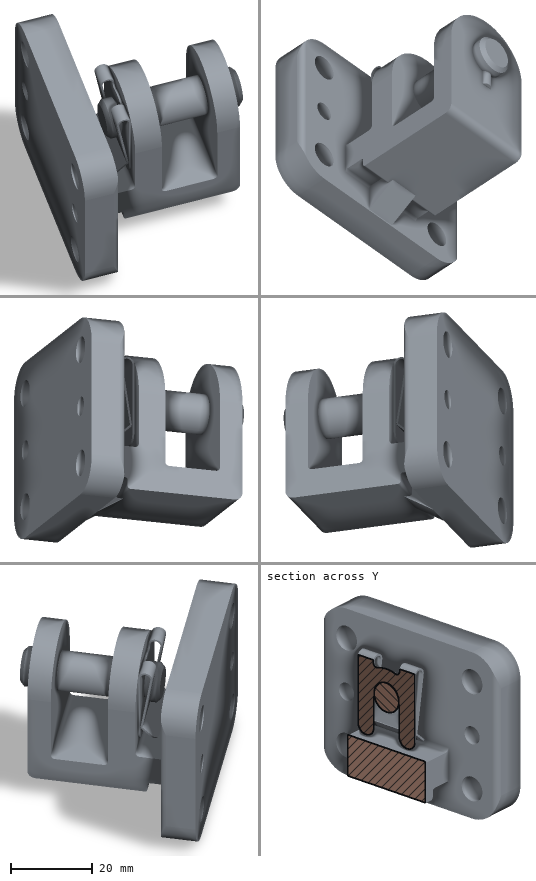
import cadquery as cq
import math

PLATE_WIDTH = 56.0
PLATE_HEIGHT = 45.0
PLATE_THICKNESS = 8.95
PLATE_CORNER_RADIUS = 8.0
PLATE_EDGE_RADIUS = 1.5
HOLE_OFFSET_X = 20.0
HOLE_OFFSET_Z = 14.5
BOLT_HOLE_DIAMETER = 6.6
DOWEL_HOLE_DIAMETER = 4.8

CLEVIS_WIDTH = 25.0
AXIS_Z = 7.5
LUG_TOP_Z = AXIS_Z + CLEVIS_WIDTH / 2
FRONT_LUG_START = 18.0
FRONT_LUG_END = 24.85
REAR_LUG_START = 39.15
REAR_LUG_END = 45.0
GAP_FLOOR_Z = -10.5
NECK_TOP_Z = -6.55
NECK_BOTTOM_Z = -14.55
CLEVIS_BOTTOM_Z = -17.4
NECK_END = 15.0
INNER_RADIUS = 1.0
NOTCH_RADIUS = 0.7
HEEL_RADIUS = 2.0

GUSSET_WIDTH = 8.0
GUSSET_END = 17.0
GUSSET_FOOT_Z = -22.2

PIN_DIAMETER = 10.0
PIN_START = 13.5
PIN_END = 48.5
PIN_CHAMFER = 1.0
GROOVE_DIAMETER = 8.0
GROOVE_START = 16.95
PEG_DIAMETER = 3.0
PEG_PROTRUSION = 1.0
PEG_LENGTH = 9.0
PEG_Y = REAR_LUG_END + PEG_PROTRUSION - PEG_DIAMETER / 2

CLIP_WIDTH = 18.2
CLIP_THICKNESS = 0.5
BOW_RADIUS = 1.8
BOW_TOP_Z = 17.4
BOW_Y = FRONT_LUG_START - BOW_RADIUS
BOW_Z = BOW_TOP_Z - BOW_RADIUS
BOW_MID_RADIUS = BOW_RADIUS - CLIP_THICKNESS / 2
FORK_BOTTOM_Z = -4.5
FORK_FACE_Y = FRONT_LUG_START - CLIP_THICKNESS
LEAF_ANGLE = math.radians(9.1)
LEAF_LENGTH = 15.6
TAIL_ANGLE = math.radians(48)
TAIL_LENGTH = 5.25
TAIL_CORNER_RADIUS = 2.0
BOW_SLOT_WIDTH = 8.25
BOW_SLOT_FLOOR_RADIUS = 7.8
BOW_SLOT_CORNER_RADIUS = 1.0
PRONG_WIDTH = (CLIP_WIDTH - GROOVE_DIAMETER) / 2
PRONG_END_RADIUS = 2.45


def cylinder_y(diameter, start, end, x=0.0, z=0.0):
    """Cylinder parallel to Y from start to end."""
    return cq.Workplane(cq.Solid.makeCylinder(
        diameter / 2, end - start, cq.Vector(x, start, z), cq.Vector(0, 1, 0)))


def block(width, y_range, z_range):
    """Box centred on X = 0."""
    depth = y_range[1] - y_range[0]
    height = z_range[1] - z_range[0]
    return cq.Workplane("XY").box(width, depth, height, centered=(True, False, False)).translate(
        (0, y_range[0], z_range[0]))


def extrude_x(profile, width):
    """Extrude a closed YZ profile symmetrically about X = 0."""
    return profile.extrude(width / 2, both=True)


def make_plate():
    half_height = PLATE_HEIGHT / 2
    plate = block(PLATE_WIDTH, (0, PLATE_THICKNESS), (-half_height, half_height))
    rounded_outline = plate.edges("|Y").fillet(PLATE_CORNER_RADIUS)
    rounded_sides = plate.edges("|Z and >Y").fillet(PLATE_EDGE_RADIUS)
    plate = rounded_outline.intersect(rounded_sides)
    for side in (-1, 1):
        x = side * HOLE_OFFSET_X
        plate = plate.cut(cylinder_y(DOWEL_HOLE_DIAMETER, 0, PLATE_THICKNESS, x))
        for level in (-1, 1):
            z = level * HOLE_OFFSET_Z
            plate = plate.cut(cylinder_y(BOLT_HOLE_DIAMETER, 0, PLATE_THICKNESS, x, z))
    return plate


def fillet_at(body, radius, corners):
    """Round the edges parallel to X that pass through the given (y, z) corners."""
    for y, z in corners:
        body = body.edges(cq.selectors.NearestToPointSelector((0, y, z))).fillet(radius)
    return body


def make_clevis():
    outline = [
        (PLATE_THICKNESS, NECK_BOTTOM_Z),
        (NECK_END, NECK_BOTTOM_Z),
        (NECK_END, CLEVIS_BOTTOM_Z),
        (REAR_LUG_END, CLEVIS_BOTTOM_Z),
        (REAR_LUG_END, LUG_TOP_Z),
        (REAR_LUG_START, LUG_TOP_Z),
        (REAR_LUG_START, GAP_FLOOR_Z),
        (FRONT_LUG_END, GAP_FLOOR_Z),
        (FRONT_LUG_END, LUG_TOP_Z),
        (FRONT_LUG_START, LUG_TOP_Z),
        (FRONT_LUG_START, NECK_TOP_Z),
        (PLATE_THICKNESS, NECK_TOP_Z),
    ]
    clevis = extrude_x(cq.Workplane("YZ").polyline(outline).close(), CLEVIS_WIDTH)
    clevis = fillet_at(clevis, HEEL_RADIUS, [(REAR_LUG_END, CLEVIS_BOTTOM_Z)])
    clevis = fillet_at(clevis, INNER_RADIUS, [
        (REAR_LUG_START, GAP_FLOOR_Z),
        (FRONT_LUG_END, GAP_FLOOR_Z),
        (FRONT_LUG_START, NECK_TOP_Z),
    ])
    clevis = fillet_at(clevis, NOTCH_RADIUS, [
        (NECK_END, CLEVIS_BOTTOM_Z),
        (NECK_END, NECK_BOTTOM_Z),
    ])
    rounded_lugs = cylinder_y(CLEVIS_WIDTH, 0, REAR_LUG_END, z=AXIS_Z)
    below_axis = block(CLEVIS_WIDTH, (0, REAR_LUG_END), (CLEVIS_BOTTOM_Z, AXIS_Z))
    return clevis.intersect(rounded_lugs.union(below_axis))


def make_gusset():
    outline = [
        (PLATE_THICKNESS, NECK_BOTTOM_Z),
        (GUSSET_END, NECK_BOTTOM_Z),
        (GUSSET_END, CLEVIS_BOTTOM_Z),
        (PLATE_THICKNESS, GUSSET_FOOT_Z),
    ]
    return extrude_x(cq.Workplane("YZ").polyline(outline).close(), GUSSET_WIDTH)


def make_peg():
    return cq.Workplane("XY").circle(PEG_DIAMETER / 2).extrude(PEG_LENGTH).translate(
        (0, PEG_Y, AXIS_Z - PEG_LENGTH))


def make_bracket():
    bracket = make_plate().union(make_clevis()).union(make_gusset())
    bracket = fillet_at(bracket, INNER_RADIUS, [(PLATE_THICKNESS, NECK_TOP_Z)])
    for side in (-1, 1):
        neck_corner = (side * (CLEVIS_WIDTH + GUSSET_WIDTH) / 4, PLATE_THICKNESS, NECK_BOTTOM_Z)
        bracket = bracket.edges(cq.selectors.NearestToPointSelector(neck_corner)).fillet(NOTCH_RADIUS)
    pin_hole = cylinder_y(PIN_DIAMETER, FRONT_LUG_START, REAR_LUG_END, z=AXIS_Z)
    return bracket.cut(pin_hole).cut(make_peg())


def make_pin():
    pin = cylinder_y(PIN_DIAMETER, PIN_START, PIN_END, z=AXIS_Z)
    pin = pin.faces("<Y or >Y").chamfer(PIN_CHAMFER)
    groove = cylinder_y(PIN_DIAMETER, GROOVE_START, FRONT_LUG_START, z=AXIS_Z)
    groove_core = cylinder_y(GROOVE_DIAMETER, GROOVE_START, FRONT_LUG_START, z=AXIS_Z)
    return pin.cut(groove.cut(groove_core)).union(make_peg())


def strip(start, direction, length):
    """Flat strip as wide as the clip, running from a mid-thickness (y, z) point."""
    normal = (0, -direction[1], direction[0])
    plane = cq.Plane(origin=(0, *start), xDir=(0, *direction), normal=normal)
    return cq.Workplane(plane).center(length / 2, 0).rect(length, CLIP_WIDTH).extrude(
        CLIP_THICKNESS / 2, both=True)


def make_bow():
    def bow_point(radius, angle):
        return BOW_Y + radius * math.cos(angle), BOW_Z + radius * math.sin(angle)

    inner_radius = BOW_RADIUS - CLIP_THICKNESS
    end_angle = math.pi + LEAF_ANGLE
    mid_angle = end_angle / 2
    profile = (
        cq.Workplane("YZ")
        .moveTo(*bow_point(BOW_RADIUS, 0))
        .threePointArc(bow_point(BOW_RADIUS, mid_angle), bow_point(BOW_RADIUS, end_angle))
        .lineTo(*bow_point(inner_radius, end_angle))
        .threePointArc(bow_point(inner_radius, mid_angle), bow_point(inner_radius, 0))
        .close()
    )
    return extrude_x(profile, CLIP_WIDTH)


def make_fork():
    """Flat leg behind the pin head, with two round-ended prongs astride the groove."""
    y_range = (FORK_FACE_Y, FRONT_LUG_START)
    fork = block(CLIP_WIDTH, y_range, (FORK_BOTTOM_Z, BOW_Z))
    fork = fork.cut(block(GROOVE_DIAMETER, y_range, (FORK_BOTTOM_Z, AXIS_Z)))
    fork = fork.edges("|Y and <Z").fillet(PRONG_END_RADIUS)
    return fork.cut(cylinder_y(GROOVE_DIAMETER, *y_range, z=AXIS_Z))


def make_leaf_and_tail():
    leaf_start = (
        BOW_Y - BOW_MID_RADIUS * math.cos(LEAF_ANGLE),
        BOW_Z - BOW_MID_RADIUS * math.sin(LEAF_ANGLE),
    )
    leaf_direction = (math.sin(LEAF_ANGLE), -math.cos(LEAF_ANGLE))
    crease = (
        leaf_start[0] + LEAF_LENGTH * leaf_direction[0],
        leaf_start[1] + LEAF_LENGTH * leaf_direction[1],
    )
    tail_direction = (-math.sin(TAIL_ANGLE), -math.cos(TAIL_ANGLE))
    leaf = strip(leaf_start, leaf_direction, LEAF_LENGTH)
    tail = strip(crease, tail_direction, TAIL_LENGTH)
    tail_normal = cq.Vector(0, -tail_direction[1], tail_direction[0])
    tail_end = cq.selectors.DirectionMinMaxSelector(cq.Vector(0, *tail_direction))
    tail_corners = cq.selectors.ParallelDirSelector(tail_normal)
    tail = tail.faces(tail_end).edges(tail_corners).fillet(TAIL_CORNER_RADIUS)
    return leaf.union(tail)


def make_bow_slot():
    """Slot through the bow; its floor in the flat leg is an arc around the pin axis."""
    y_range = (PIN_START, FRONT_LUG_START)
    floor = cylinder_y(2 * BOW_SLOT_FLOOR_RADIUS, *y_range, z=AXIS_Z)
    slot = block(BOW_SLOT_WIDTH, y_range, (AXIS_Z, BOW_TOP_Z)).cut(floor)
    slot = slot.edges("|Y").edges("<Z").fillet(BOW_SLOT_CORNER_RADIUS)
    leaf_slot = block(BOW_SLOT_WIDTH, (PIN_START, FORK_FACE_Y), (AXIS_Z, BOW_Z))
    return slot.union(leaf_slot)


def make_clip():
    pin_window = cylinder_y(PIN_DIAMETER, PIN_START, FORK_FACE_Y, z=AXIS_Z)
    clip = make_bow().union(make_leaf_and_tail()).cut(pin_window)
    return clip.union(make_fork()).cut(make_bow_slot())


bracket = make_bracket()
pin = make_pin()
clip = make_clip()
result = cq.Compound.makeCompound([bracket.solids().val(), pin.solids().val(), clip.solids().val()])